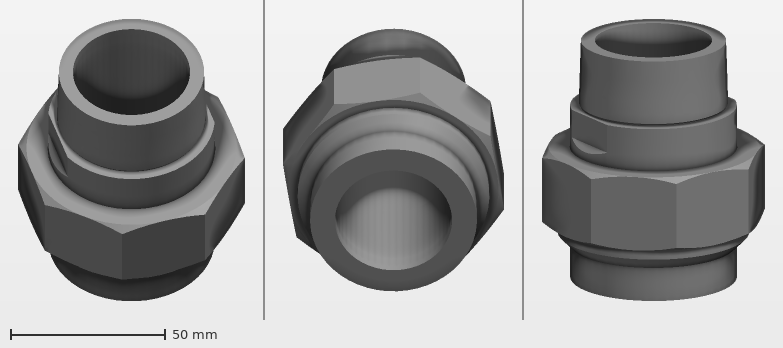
import cadquery as cq
import math


bore_radius = 19.0
pipe_radius = 27.0
ring_radius = 31.0
collar_clearance = 0.2

spigot_top = 11.2
ring_bottom = spigot_top + ring_radius - pipe_radius
nut_bottom = 19.1
nut_height = 24.9
collar_top = 58.2
thread_bottom = 59.0
total_height = 80.0

nut_sides = 8
nut_across_flats = 68.0
nut_chamfer_angle = 30.0
nut_lip_thickness = 4.0
nut_top = nut_bottom + nut_height
flange_top = nut_top - nut_lip_thickness

flange_thickness = 4.0
flange_bottom = flange_top - flange_thickness
thread_taper = 1 / 16
thread_top_radius = 23.5
thread_bottom_radius = thread_top_radius + (total_height - thread_bottom) * thread_taper / 2
neck_radius = 23.7
undercut_bottom = thread_bottom - (thread_bottom_radius - neck_radius)

flats_width = 50.0
flat_bottom = 48.8
flat_depth = pipe_radius - flats_width / 2


def revolve_profile(points):
    """Turn a closed (radius, height) outline about the Z axis."""
    return cq.Workplane("XZ").polyline(points).close().revolve(360, (0, 0, 0), (0, 1, 0))


def make_tail():
    return revolve_profile([
        (bore_radius, 0),
        (pipe_radius, 0),
        (pipe_radius, spigot_top),
        (ring_radius, ring_bottom),
        (ring_radius, flange_bottom),
        (bore_radius, flange_bottom),
    ])


def make_nut():
    corner_radius = nut_across_flats / 2 / math.cos(math.pi / nut_sides)
    prism = (
        cq.Workplane("XY", origin=(0, 0, nut_bottom))
        .transformed(rotate=(0, 0, 180 / nut_sides))
        .polygon(nut_sides, 2 * corner_radius)
        .extrude(nut_height)
    )

    face_radius = nut_across_flats / 2
    bevel_drop = (corner_radius - face_radius) * math.tan(math.radians(nut_chamfer_angle))
    bevel_envelope = revolve_profile([
        (0, nut_bottom),
        (face_radius, nut_bottom),
        (corner_radius, nut_bottom + bevel_drop),
        (corner_radius, nut_top - bevel_drop),
        (face_radius, nut_top),
        (0, nut_top),
    ])

    opening_radius = pipe_radius + collar_clearance
    stepped_hole = revolve_profile([
        (0, nut_bottom),
        (ring_radius, nut_bottom),
        (ring_radius, flange_top),
        (opening_radius, flange_top),
        (opening_radius, nut_top),
        (0, nut_top),
    ])
    return prism.intersect(bevel_envelope).cut(stepped_hole)


def make_flat_cutter():
    """Removes the flat on the +Y side, with a 45 degree run-out at its lower end."""
    inner = pipe_radius - flat_depth
    return (
        cq.Workplane("YZ")
        .polyline([
            (inner, collar_top),
            (inner, flat_bottom),
            (pipe_radius, flat_bottom - flat_depth),
            (pipe_radius, collar_top),
        ])
        .close()
        .extrude(pipe_radius, both=True)
    )


def make_male_end():
    body = revolve_profile([
        (bore_radius, flange_bottom),
        (ring_radius, flange_bottom),
        (ring_radius, flange_top),
        (pipe_radius, flange_top),
        (pipe_radius, collar_top),
        (neck_radius, collar_top),
        (neck_radius, undercut_bottom),
        (thread_bottom_radius, thread_bottom),
        (thread_top_radius, total_height),
        (bore_radius, total_height),
    ])
    for angle in (0, 180):
        body = body.cut(make_flat_cutter().rotate((0, 0, 0), (0, 0, 1), angle))
    return body


tail = make_tail()
nut = make_nut()
male_end = make_male_end()

result = cq.Compound.makeCompound([tail.val(), nut.solids().val(), male_end.solids().val()])